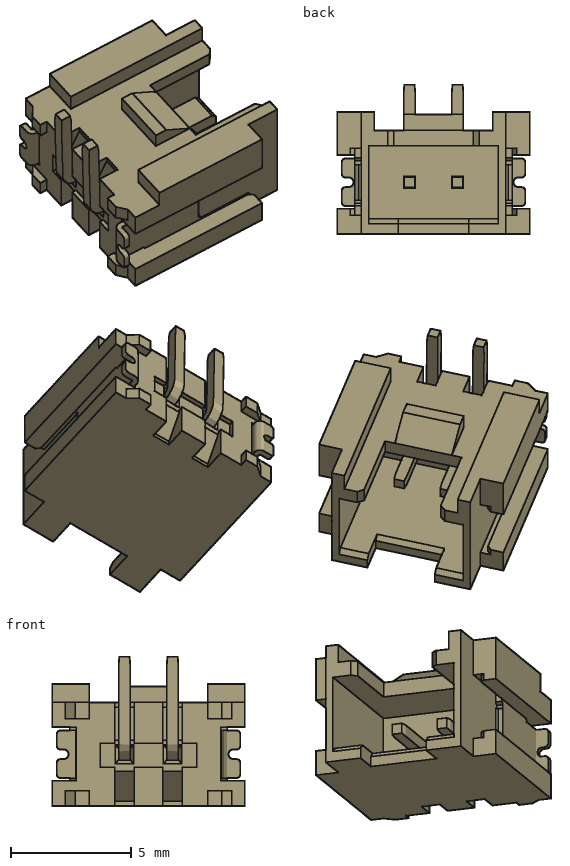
import cadquery as cq
import math


body_width = 8.0
body_height = 4.31
rail_top = 5.08
shroud_width = 6.01
shroud_back = 7.87
wide_back = 6.41
rail_front = 1.22
rail_inner_x = 2.46
channel_bottom = 1.06
channel_top = 3.28
groove_depth = 0.28
groove_flare_width = 0.175
groove_flare_length = 0.175

wall = 0.63
side_wall = 0.315
cavity_front = 1.99
lead_in = 0.2
roof_window_width = 3.32
roof_window_front = 4.67
roof_corner_width = 0.24
floor_notch_width = 2.92
floor_notch_front = 6.665

latch_width = 2.47
latch_front = 2.955
latch_crest = 3.48
latch_top = 4.98

foot_depth = 0.33
foot_base_x = 3.46
foot_tip_x = 3.04
lower_foot_height = 0.65
upper_foot_height = 0.67

relief_width = 0.805
relief_depth = 0.19
pocket_depth = 0.91
pocket_lip = 0.21
upper_ramp_end = 2.73
lower_ramp_end = 1.445
cross_relief_width = 4.02
cross_relief_bottom = 1.61
cross_relief_top = 2.61
funnel_width = 0.78

pin_pitch = 2.0
pin_size = 0.49
pin_tip_size = 0.43
pin_tip_length = 0.33
pin_z = 2.16
pin_back = 4.83
pin_top = 6.22
pin_front = -0.43
pin_bend_radius = 0.49
pin_tilt = math.radians(1.2)

bracket_thickness = 0.25
bracket_clearance = 0.025
bracket_front = -0.42
bracket_back = 3.69
bracket_outer_x = 3.82
bracket_bend_radius = 0.29
bracket_bottom = 1.16
bracket_top = 3.145
bracket_step_front = 0.9
bracket_step_back = 1.0
ear_length = 0.125
ear_corner = 0.12
ear_tip_height = 0.11
tongue_bottom = 1.41
tongue_top = 2.89
tongue_drop = 0.17
bracket_notch_height = 0.39
bracket_notch_x = 3.33
bracket_corner_radius = 0.17


def block(x_range, y_range, z_range):
    """Axis-aligned box between the given limits."""
    sizes = [high - low for low, high in (x_range, y_range, z_range)]
    corner = (x_range[0], y_range[0], z_range[0])
    return cq.Workplane("XY").box(*sizes, centered=False).translate(corner)


def centered_block(width, y_range, z_range):
    """Box of the given width, centred on X = 0."""
    return block((-width / 2, width / 2), y_range, z_range)


def side_prism(points, width, x_center=0):
    """Prism from a (y, z) outline, centred on x_center along X."""
    outline = cq.Workplane("YZ", origin=(x_center, 0, 0)).polyline(points).close()
    return outline.extrude(width / 2, both=True)


def both_sides(solid):
    """The solid together with its mirror image across X = 0."""
    return solid.union(solid.mirror("YZ"))


def make_shell():
    half_body = body_width / 2
    half_shroud = shroud_width / 2
    shell = centered_block(body_width, (0, wide_back), (0, body_height))
    shell = shell.union(centered_block(shroud_width, (0, shroud_back), (0, body_height)))
    wide_rail = block((rail_inner_x, half_body), (rail_front, wide_back), (body_height, rail_top))
    narrow_rail = block((rail_inner_x, half_shroud), (rail_front, shroud_back), (body_height, rail_top))
    channel = block((half_shroud, half_body), (0, wide_back), (channel_bottom, channel_top))
    shell = shell.union(both_sides(wide_rail.union(narrow_rail)))
    return shell.cut(both_sides(channel.union(make_groove())))


def make_groove():
    """Groove above and below the +X channel, flared at the back, that takes the bracket edges."""
    inner_x = shroud_width / 2
    face_x = inner_x + bracket_clearance + bracket_thickness
    return (
        cq.Workplane("XY", origin=(0, 0, channel_bottom - groove_depth))
        .polyline([
            (inner_x, bracket_step_back), (face_x, bracket_step_back),
            (face_x, wide_back - groove_flare_length), (face_x + groove_flare_width, wide_back),
            (inner_x, wide_back),
        ])
        .close()
        .extrude(channel_top - channel_bottom + 2 * groove_depth)
    )


def make_cavity():
    cavity_width = shroud_width - 2 * side_wall
    cavity = centered_block(cavity_width, (cavity_front, shroud_back), (wall, body_height - wall))

    half_window = roof_window_width / 2
    half_mouth = half_window + roof_corner_width
    window = (
        cq.Workplane("XY", origin=(0, 0, body_height - wall))
        .polyline([
            (-half_window, roof_window_front), (half_window, roof_window_front),
            (half_window, shroud_back - lead_in), (half_mouth, shroud_back),
            (-half_mouth, shroud_back), (-half_window, shroud_back - lead_in),
        ])
        .close()
        .extrude(wall)
    )

    notch = centered_block(floor_notch_width, (floor_notch_front, shroud_back), (0, wall))

    def floor_lead_in(back, width):
        return side_prism([(back - lead_in, wall), (back, wall), (back, wall - lead_in)], width)

    cavity = cavity.union(window).union(notch)
    cavity = cavity.union(floor_lead_in(shroud_back, cavity_width))
    return cavity.union(floor_lead_in(floor_notch_front, floor_notch_width))


def make_latch():
    return side_prism(
        [(latch_front, body_height), (latch_front, latch_top),
         (latch_crest, latch_top), (roof_window_front, body_height)],
        latch_width,
    )


def make_feet():
    def foot(bottom, height):
        return (
            cq.Workplane("XY", origin=(0, 0, bottom))
            .polyline([
                (rail_inner_x, 0), (foot_base_x, 0),
                (foot_tip_x, -foot_depth), (rail_inner_x, -foot_depth),
            ])
            .close()
            .extrude(height)
        )

    lower = foot(0, lower_foot_height)
    upper = foot(body_height - upper_foot_height, upper_foot_height)
    return both_sides(lower.union(upper))


def make_relief(x):
    """Slot down the front wall with a sloped pocket at each end and a funnel round the pin."""
    relief = side_prism(
        [(0, 0), (pocket_depth, 0), (pocket_depth, pocket_lip), (relief_depth, lower_ramp_end),
         (relief_depth, upper_ramp_end), (pocket_depth, body_height - pocket_lip),
         (pocket_depth, body_height), (0, body_height)],
        relief_width, x,
    )
    funnel_depth = (funnel_width - pin_size) / 2
    funnel = (
        cq.Workplane("XZ", origin=(x, relief_depth, pin_z))
        .rect(funnel_width, funnel_width)
        .workplane(offset=-funnel_depth)
        .rect(pin_size, pin_size)
        .loft()
    )
    return relief.union(funnel)


def make_pin(x):
    """Square pin running forward through the wall, then bent up and leaning slightly forward."""
    half = pin_size / 2
    radius = pin_bend_radius
    lean_y = -math.sin(pin_tilt)
    lean_z = math.cos(pin_tilt)

    tip_z = pin_top - pin_tip_size / 2 * math.sin(pin_tilt)
    shoulder_z = tip_z - pin_tip_length * lean_z
    shoulder_y = pin_front + half * lean_z
    bend_end_z = pin_z + radius + radius * lean_y
    leg_length = (shoulder_z - bend_end_z) / lean_z
    bend_end_y = shoulder_y - leg_length * lean_y
    bend_y = bend_end_y + radius * lean_z

    half_turn = (math.pi / 2 - pin_tilt) / 2
    bend_middle = (bend_y - radius * math.sin(half_turn), pin_z + radius * (1 - math.cos(half_turn)))
    back_shoulder = pin_back - pin_tip_length

    path = (
        cq.Workplane("YZ", origin=(x, 0, 0))
        .moveTo(back_shoulder, pin_z)
        .lineTo(bend_y, pin_z)
        .threePointArc(bend_middle, (bend_end_y, bend_end_z))
        .lineTo(shoulder_y, shoulder_z)
    )
    pin = cq.Workplane("XZ", origin=(x, back_shoulder, pin_z)).rect(pin_size, pin_size).sweep(path)

    def tip(origin, direction):
        plane = cq.Plane(origin=origin, xDir=(1, 0, 0), normal=direction)
        return (
            cq.Workplane(plane)
            .rect(pin_size, pin_size)
            .workplane(offset=pin_tip_length)
            .rect(pin_tip_size, pin_tip_size)
            .loft()
        )

    back_tip = tip((x, back_shoulder, pin_z), (0, 1, 0))
    top_tip = tip((x, shoulder_y, shoulder_z), (0, lean_y, lean_z))
    return pin.union(back_tip).union(top_tip)


def make_bracket():
    """Strip in the +X channel, clear of the wall at the front, that bends out into a notched solder tab."""
    inner_x = shroud_width / 2
    strip_x = inner_x + bracket_clearance
    face_x = strip_x + bracket_thickness
    tab_back = bracket_front + bracket_thickness
    inside_radius = bracket_bend_radius - bracket_thickness
    bend_x = strip_x + bracket_bend_radius
    bend_y = bracket_front + bracket_bend_radius
    diagonal = math.sqrt(0.5)

    strip = (
        cq.Workplane("XY", origin=(0, 0, bracket_bottom))
        .moveTo(strip_x, bracket_back)
        .lineTo(strip_x, bend_y)
        .threePointArc(
            (bend_x - bracket_bend_radius * diagonal, bend_y - bracket_bend_radius * diagonal),
            (bend_x, bracket_front),
        )
        .lineTo(bracket_outer_x, bracket_front)
        .lineTo(bracket_outer_x, tab_back)
        .lineTo(bend_x, tab_back)
        .threePointArc(
            (bend_x - inside_radius * diagonal, bend_y - inside_radius * diagonal),
            (face_x, bend_y),
        )
        .lineTo(face_x, bracket_back)
        .close()
        .extrude(bracket_top - bracket_bottom)
    )

    notch_z = (bracket_bottom + bracket_top) / 2
    notch_radius = bracket_notch_height / 2
    notch_round_x = bracket_notch_x + notch_radius
    notch = block(
        (notch_round_x, bracket_outer_x), (bracket_front, tab_back),
        (notch_z - notch_radius, notch_z + notch_radius),
    )
    notch = notch.union(
        cq.Workplane("XZ", origin=(notch_round_x, tab_back, notch_z))
        .circle(notch_radius)
        .extrude(bracket_thickness)
    )
    strip = strip.cut(notch).edges("|Y and >X").fillet(bracket_corner_radius)

    groove_bottom = channel_bottom - groove_depth
    groove_top = channel_top + groove_depth
    ear_back = bracket_back + ear_length
    ear_inset = ear_tip_height + ear_corner
    plate = (
        cq.Workplane("YZ", origin=(inner_x, 0, 0))
        .polyline([
            (bracket_step_front, bracket_bottom), (bracket_step_back, channel_bottom),
            (bracket_step_back, groove_bottom), (ear_back, groove_bottom),
            (ear_back, channel_bottom + ear_tip_height),
            (bracket_back, channel_bottom + ear_inset), (bracket_back, channel_top - ear_inset),
            (ear_back, channel_top - ear_tip_height), (ear_back, groove_top),
            (bracket_step_back, groove_top), (bracket_step_back, channel_top),
            (bracket_step_front, bracket_top),
        ])
        .close()
        .extrude(face_x - inner_x)
    )

    tongue = (
        cq.Workplane("XY", origin=(0, 0, tongue_bottom))
        .polyline([
            (inner_x, bracket_back), (face_x, bracket_back),
            (face_x - tongue_drop, ear_back), (inner_x, ear_back),
        ])
        .close()
        .extrude(tongue_top - tongue_bottom)
    )
    return strip.union(plate).union(tongue)


housing = make_shell().cut(make_cavity()).union(make_latch()).union(make_feet())
housing = housing.cut(
    centered_block(cross_relief_width, (0, relief_depth), (cross_relief_bottom, cross_relief_top))
)

pin_positions = (-pin_pitch / 2, pin_pitch / 2)
for pin_x in pin_positions:
    housing = housing.cut(make_relief(pin_x))
for pin_x in pin_positions:
    housing = housing.union(make_pin(pin_x))

result = housing.union(both_sides(make_bracket()))